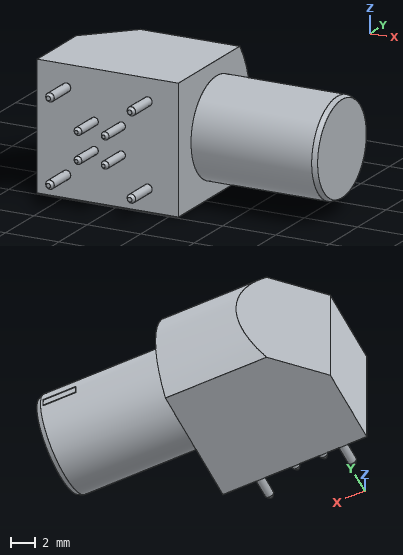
import cadquery as cq
import math

HOUSING_LENGTH = 13.25
HOUSING_HEIGHT = 12.7
HOUSING_WIDTH = 11.7
CROWN_RADIUS = 10.0
BACK_CHAMFER = 5.83

TOTAL_LENGTH = 25.0
BARREL_RADIUS = 4.5
BARREL_AXIS_HEIGHT = 6.7
BARREL_CHAMFER_LENGTH = 0.45
BARREL_CHAMFER_DEPTH = 0.2

MARK_LENGTH = 3.0
MARK_WIDTH = 0.8
MARK_THICKNESS = 0.06
MARK_END_GAP = 0.7

PIN_LENGTH = 3.2
PIN_TIP_LENGTH = 0.3
PIN_TIP_CHAMFER = 0.2
GROUND_PIN_RADIUS = 0.4
SIGNAL_PIN_RADIUS = 0.36
PIN_PITCH = 2.54
GROUND_SPACING = 3 * PIN_PITCH
SIGNAL_SPACING = PIN_PITCH
GROUND_CENTER_X = 6.57
SIGNAL_CENTER_X = 6.65


def make_housing():
    """Block with an arched crown and a slanted cut across the upper back edge."""
    half_width = HOUSING_WIDTH / 2
    crown_rise = CROWN_RADIUS - math.sqrt(CROWN_RADIUS**2 - half_width**2)
    shoulder_height = HOUSING_HEIGHT - crown_rise
    block = (
        cq.Workplane("YZ")
        .moveTo(0, -half_width)
        .lineTo(shoulder_height, -half_width)
        .threePointArc((HOUSING_HEIGHT, 0), (shoulder_height, half_width))
        .lineTo(0, half_width)
        .close()
        .extrude(HOUSING_LENGTH)
    )
    back_wedge = (
        cq.Workplane("XY")
        .moveTo(0, HOUSING_HEIGHT)
        .lineTo(BACK_CHAMFER, HOUSING_HEIGHT)
        .lineTo(0, HOUSING_HEIGHT - BACK_CHAMFER)
        .close()
        .extrude(half_width, both=True)
    )
    return block.cut(back_wedge)


def make_barrel():
    """Round barrel with a shallow cone at its free end."""
    cone_start = TOTAL_LENGTH - BARREL_CHAMFER_LENGTH
    barrel = (
        cq.Workplane("XY")
        .moveTo(HOUSING_LENGTH, 0)
        .lineTo(HOUSING_LENGTH, BARREL_RADIUS)
        .lineTo(cone_start, BARREL_RADIUS)
        .lineTo(TOTAL_LENGTH, BARREL_RADIUS - BARREL_CHAMFER_DEPTH)
        .lineTo(TOTAL_LENGTH, 0)
        .close()
        .revolve(360, (0, 0, 0), (1, 0, 0))
    )
    return barrel.translate((0, BARREL_AXIS_HEIGHT, 0))


def make_index_mark():
    """Thin raised strip that follows the barrel's curvature."""
    mark_start = TOTAL_LENGTH - MARK_END_GAP - MARK_LENGTH
    mark_radius = BARREL_RADIUS + MARK_THICKNESS
    sleeve = (
        cq.Workplane("YZ", origin=(mark_start, BARREL_AXIS_HEIGHT, 0))
        .circle(mark_radius)
        .extrude(MARK_LENGTH)
    )
    strip = (
        cq.Workplane("XY")
        .box(MARK_LENGTH, mark_radius, MARK_WIDTH, centered=(False, False, True))
        .translate((mark_start, BARREL_AXIS_HEIGHT, 0))
    )
    return sleeve.intersect(strip)


def make_pins(center_x, spacing, radius):
    """Four pins on a square pattern, each with a conical tip, pointing to -Y."""
    cone_start = -(PIN_LENGTH - PIN_TIP_LENGTH)
    pin = (
        cq.Workplane("XY")
        .lineTo(radius, 0)
        .lineTo(radius, cone_start)
        .lineTo(radius - PIN_TIP_CHAMFER, -PIN_LENGTH)
        .lineTo(0, -PIN_LENGTH)
        .close()
        .revolve(360, (0, 0, 0), (0, 1, 0))
    )
    pins = cq.Workplane("XY")
    for side_x in (-1, 1):
        for side_z in (-1, 1):
            offset = (center_x + side_x * spacing / 2, 0, side_z * spacing / 2)
            pins = pins.add(pin.translate(offset))
    return pins.combine()


result = (
    make_housing()
    .union(make_barrel())
    .union(make_index_mark())
    .union(make_pins(GROUND_CENTER_X, GROUND_SPACING, GROUND_PIN_RADIUS))
    .union(make_pins(SIGNAL_CENTER_X, SIGNAL_SPACING, SIGNAL_PIN_RADIUS))
)